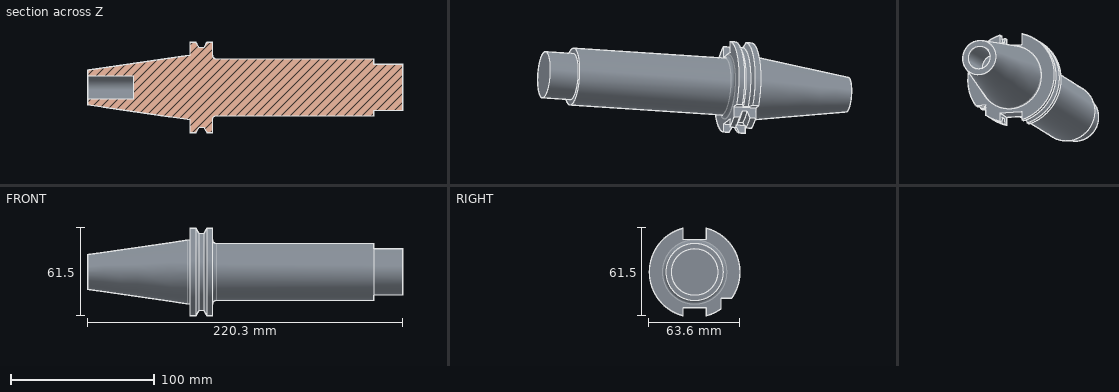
import cadquery as cq
import math


total_length = 220.3
taper_length = 68.4
taper_overrun = 1.4
gauge_to_flange = 3.2
gauge_to_groove_center = 11.2
gauge_to_flange_back = 19.1
nose_length = 20.3
bore_depth = 32.0

gauge_diameter = 44.45
flange_diameter = 63.55
groove_floor_diameter = 56.25
body_diameter = 40.0
nose_diameter = 32.5
bore_diameter = 16.0

taper_ratio = 7 / 24
groove_floor_width = 3.4
groove_wall_angle = math.radians(30)
body_fillet = 2.5

slot_width = 16.1
upper_slot_floor = 22.8
lower_slot_floor = 25.0
notch_offset = 18.5

flange_front = taper_length + gauge_to_flange
flange_back = taper_length + gauge_to_flange_back
flange_width = flange_back - flange_front
groove_center = taper_length + gauge_to_groove_center
taper_end = taper_length + taper_overrun
body_end = total_length - nose_length

gauge_radius = gauge_diameter / 2
tip_radius = gauge_radius - taper_length * taper_ratio / 2
collar_radius = gauge_radius + taper_overrun * taper_ratio / 2
flange_radius = flange_diameter / 2
body_radius = body_diameter / 2


def make_taper():
    """Steep taper running just past the gauge line, then a straight collar to the flange."""
    return (
        cq.Workplane("XY")
        .moveTo(0, 0)
        .lineTo(0, tip_radius)
        .lineTo(taper_end, collar_radius)
        .lineTo(flange_front, collar_radius)
        .lineTo(flange_front, 0)
        .close()
        .revolve(360, (0, 0, 0), (1, 0, 0))
    )


def make_flange():
    """Flange disc with a V-shaped gripper groove around its rim."""
    groove_floor_radius = groove_floor_diameter / 2
    wall_run = (flange_radius - groove_floor_radius) * math.tan(groove_wall_angle)
    half_floor = groove_floor_width / 2
    half_mouth = half_floor + wall_run
    return (
        cq.Workplane("XY")
        .moveTo(flange_front, 0)
        .lineTo(flange_front, flange_radius)
        .lineTo(groove_center - half_mouth, flange_radius)
        .lineTo(groove_center - half_floor, groove_floor_radius)
        .lineTo(groove_center + half_floor, groove_floor_radius)
        .lineTo(groove_center + half_mouth, flange_radius)
        .lineTo(flange_back, flange_radius)
        .lineTo(flange_back, 0)
        .close()
        .revolve(360, (0, 0, 0), (1, 0, 0))
    )


def make_body():
    """Straight body, flared by a fillet at the flange, with a smaller nose."""
    nose_radius = nose_diameter / 2
    fillet_end = (flange_back + body_fillet, body_radius)
    return (
        cq.Workplane("XY")
        .moveTo(flange_back, 0)
        .lineTo(flange_back, body_radius + body_fillet)
        .radiusArc(fillet_end, -body_fillet)
        .lineTo(body_end, body_radius)
        .lineTo(body_end, nose_radius)
        .lineTo(total_length, nose_radius)
        .lineTo(total_length, 0)
        .close()
        .revolve(360, (0, 0, 0), (1, 0, 0))
    )


def flange_cutter(y_min, y_max, z_min, z_max):
    """Box spanning the flange width and the given Y and Z ranges."""
    return cq.Workplane("XY").box(
        flange_width, y_max - y_min, z_max - z_min, centered=False
    ).translate((flange_front, y_min, z_min))


def cut_flange(part):
    """Cut the two unequal drive slots and the corner notch."""
    half_slot = slot_width / 2
    upper_slot = flange_cutter(-half_slot, half_slot, upper_slot_floor, flange_radius)
    lower_slot = flange_cutter(-half_slot, half_slot, -flange_radius, -lower_slot_floor)
    notch = flange_cutter(notch_offset, flange_radius, -flange_radius, -notch_offset)
    return part.cut(upper_slot).cut(lower_slot).cut(notch)


def make_bore():
    """Blind bore entering from the small end of the taper."""
    return cq.Workplane("YZ").circle(bore_diameter / 2).extrude(bore_depth)


holder = make_taper().union(make_flange()).union(make_body())
result = cut_flange(holder).cut(make_bore())